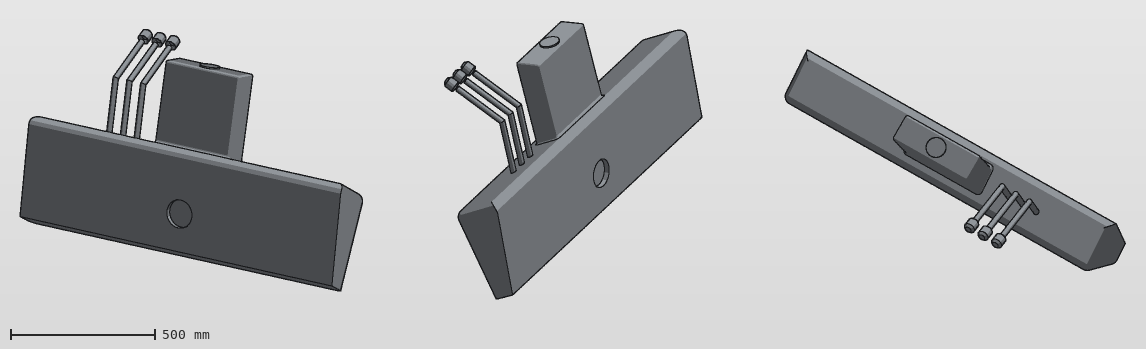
import cadquery as cq
import math

LENGTH = 1250.0
FRONT_BOTTOM = (0.0, 52.0)
FRONT_TOP = (69.0, 419.0)
BACK_TOP = (245.0, 300.0)
BACK_BOTTOM = (81.0, 0.0)
HOUSING_FILLET = 30.0

RECESS_DIAMETER = 100.0
RECESS_DEPTH = 20.0
RECESS_HEIGHT = 184.0

BOX_WIDTH = 300.0
BOX_DEPTH = 99.0
BOX_LEAN = 15.0
BOX_TOP = (235.0, 660.0)
BOX_REACH = 375.0
BOX_FILLET = 9.0
FOOT_FILLET = 8.0
BUTTON_DIAMETER = 70.0
BUTTON_HEIGHT = 5.0

ROD_COUNT = 3
ROD_PITCH = 55.0
ROD_MIDDLE_X = -305.0
ROD_DIAMETER = 20.0
ROD_ELBOW = (206.0, 554.0)
ROD_LOWER_LEAN = 13.3
ROD_LOWER_LENGTH = 225.0
ROD_UPPER_RISE = 21.7
ROD_UPPER_LENGTH = 196.0
HEAD_GAP = 9.0
HEAD_DIAMETER = 40.0
HEAD_LENGTH = 40.0
HEAD_CHAMFER = 9.0
MOUTH_DIAMETER = 39.0
FLOOR_DIAMETER = 20.0
HOLLOW_DEPTH = 11.0

ROD_XS = [ROD_MIDDLE_X + (i - (ROD_COUNT - 1) / 2) * ROD_PITCH for i in range(ROD_COUNT)]


def direction(angle):
    """Unit (Y, Z) direction at an angle above the +Y axis."""
    return math.cos(math.radians(angle)), math.sin(math.radians(angle))


def moved(point, heading, distance):
    return point[0] + heading[0] * distance, point[1] + heading[1] * distance


def section_plane(x, point, heading):
    """Plane centred on a point, with its normal along a (Y, Z) heading and its x axis along X."""
    return cq.Plane(origin=(x, *point), xDir=(1, 0, 0), normal=(0, *heading))


def profile_prism(points, length):
    return cq.Workplane("YZ").polyline(points).close().extrude(length / 2, both=True)


def midpoint_selector(x, start, end):
    """Pick the edge or face nearest to the middle of a profile side."""
    middle = ((start[0] + end[0]) / 2, (start[1] + end[1]) / 2)
    return cq.selectors.NearestToPointSelector((x, *middle))


def make_wedge():
    wedge = profile_prism([FRONT_BOTTOM, FRONT_TOP, BACK_TOP, BACK_BOTTOM], LENGTH)
    rounded = wedge.edges(cq.selectors.NearestToPointSelector((0, *FRONT_TOP)))
    rounded = rounded.add(wedge.edges(cq.selectors.NearestToPointSelector((0, *BACK_TOP))))
    for x in (-LENGTH / 2, LENGTH / 2):
        rounded = rounded.add(wedge.edges(midpoint_selector(x, FRONT_TOP, BACK_TOP)))
        rounded = rounded.add(wedge.edges(midpoint_selector(x, BACK_TOP, BACK_BOTTOM)))
    return rounded.fillet(HOUSING_FILLET)


def make_recess():
    run = FRONT_TOP[0] - FRONT_BOTTOM[0]
    rise = FRONT_TOP[1] - FRONT_BOTTOM[1]
    side = math.hypot(run, rise)
    centre = (FRONT_BOTTOM[0] + run * (RECESS_HEIGHT - FRONT_BOTTOM[1]) / rise, RECESS_HEIGHT)
    inward = (rise / side, -run / side)
    return cq.Workplane(section_plane(0, centre, inward)).circle(RECESS_DIAMETER / 2).extrude(RECESS_DEPTH)


def make_rod(x):
    """Two straight lengths mitred at the elbow; the lower one is rooted in the housing."""
    foot = moved(ROD_ELBOW, direction(90 - ROD_LOWER_LEAN), -ROD_LOWER_LENGTH)
    tip = moved(ROD_ELBOW, direction(ROD_UPPER_RISE), ROD_UPPER_LENGTH)
    path = cq.Workplane("YZ", origin=(x, 0, 0)).polyline([foot, ROD_ELBOW, tip])
    start = section_plane(x, foot, direction(90 - ROD_LOWER_LEAN))
    return cq.Workplane(start).circle(ROD_DIAMETER / 2).sweep(path, transition="right")


def make_housing():
    housing = make_wedge().cut(make_recess())
    for x in ROD_XS:
        housing = housing.union(make_rod(x))
    return housing.solids()


def make_box():
    """Leaning box seated on the housing's top face, with a flared foot and a button on top."""
    top_plane = section_plane(0, BOX_TOP, direction(90 - BOX_LEAN))
    box = cq.Workplane(top_plane).rect(BOX_WIDTH, BOX_DEPTH).extrude(-BOX_REACH)
    box = box.edges().fillet(BOX_FILLET)

    seat = profile_prism([FRONT_BOTTOM, FRONT_TOP, BACK_TOP, BACK_BOTTOM], LENGTH)
    joined = box.union(seat)
    top_face = joined.faces(midpoint_selector(0, FRONT_TOP, BACK_TOP))
    seam = [edge for wire in top_face.val().innerWires() for edge in wire.Edges()]
    box = joined.newObject(seam).fillet(FOOT_FILLET).cut(seat)

    button = cq.Workplane(top_plane).circle(BUTTON_DIAMETER / 2).extrude(BUTTON_HEIGHT)
    return box.union(button).solids()


def make_head(x):
    """Chamfered cylinder on the rod's axis with a conical hollow facing the rod tip."""
    axis = direction(ROD_UPPER_RISE)
    mouth = section_plane(x, moved(ROD_ELBOW, axis, ROD_UPPER_LENGTH + HEAD_GAP), axis)
    head = cq.Workplane(mouth).circle(HEAD_DIAMETER / 2).extrude(HEAD_LENGTH)
    far_end = moved(ROD_ELBOW, axis, ROD_UPPER_LENGTH + HEAD_GAP + HEAD_LENGTH)
    head = head.faces(cq.selectors.NearestToPointSelector((x, *far_end))).chamfer(HEAD_CHAMFER)
    hollow = (
        cq.Workplane(mouth)
        .circle(MOUTH_DIAMETER / 2)
        .workplane(offset=HOLLOW_DEPTH)
        .circle(FLOOR_DIAMETER / 2)
        .loft()
    )
    return head.cut(hollow).solids().val()


housing = make_housing()
box = make_box()
heads = [make_head(x) for x in ROD_XS]

result = cq.Compound.makeCompound([housing.val(), box.val(), *heads])